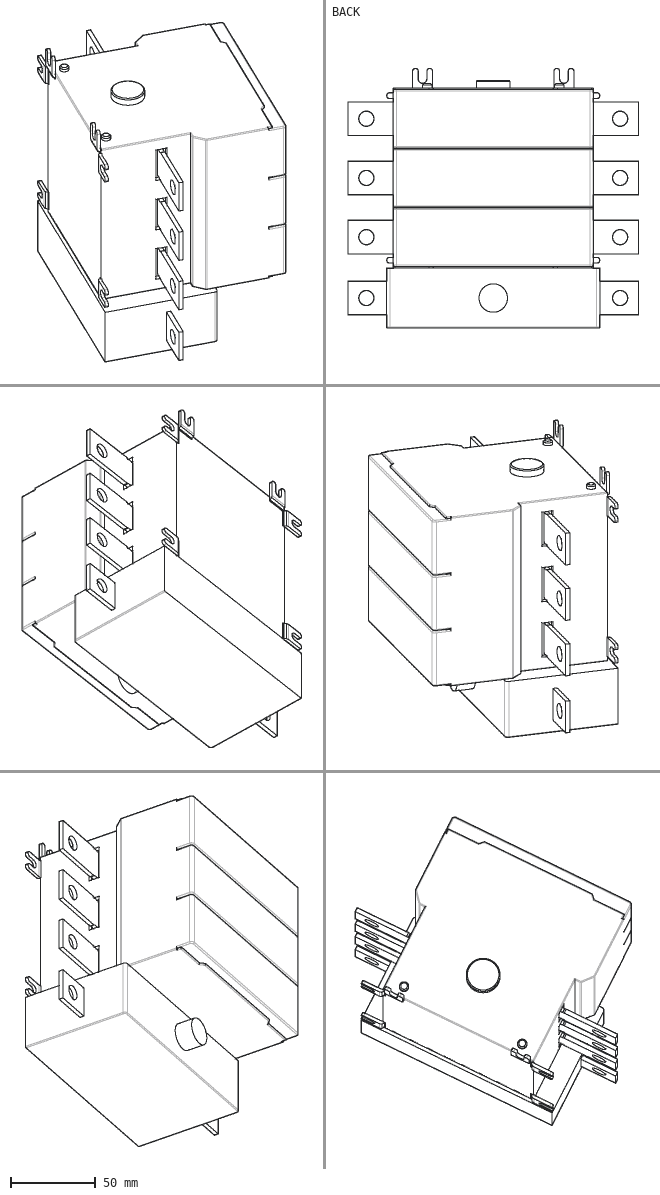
import cadquery as cq

TOTAL_WIDTH = 172.0
TOTAL_DEPTH = 114.5
TOTAL_HEIGHT = 153.51

BASE_WIDTH = 126.0
BASE_DEPTH = 70.3
BASE_HEIGHT = 35.5
BASE_CORNER_RADIUS = 2.0
BASE_EDGE_RADIUS = 0.6
KNOB_DIAMETER = 16.8
KNOB_LENGTH = 11.5

BODY_HEIGHT = 106.5
BODY_BACK_Y = 2.0
NECK_HALF_WIDTH = 49.6
SHOULDER_Y = 57.5
SHOULDER_HALF_WIDTH = 53.4
FLANK_START_Y = 64.3
BODY_HALF_WIDTH = 59.2
LIP_START_Y = 103.3
LIP_THICKNESS = 1.0
COVER_SEAM_Y = 106.0
RIDGE_HALF_WIDTH = 35.5
RIDGE_HEIGHT = 2.6
BODY_EDGE_RADIUS = 0.6
FLANK_EDGE_RADIUS = 1.0

POLE_COUNT = 3
POLE_PITCH = 35.0
COVER_GAP = 0.5
COVER_EDGE_RADIUS = 0.8
COVER_CORNER_RADIUS = 2.0

BAR_HEIGHT = 20.0
BAR_ROOT_HEIGHT = 19.0
BAR_ROOT_HALF_LENGTH = 51.0
BAR_TAPER_LENGTH = 1.0
BAR_THICKNESS = 2.7
BAR_CENTRE_Y = 39.5
BAR_HOLE_DIAMETER = 8.8
BAR_HOLE_HALF_SPACING = 75.0
POCKET_HEIGHT = 21.6
POCKET_WIDTH = 7.0
POCKET_DEPTH = 3.0

BUTTON_DIAMETER = 20.0
BUTTON_HEIGHT = 4.5
BUTTON_Y = 35.2
BUTTON_CHAMFER = 0.7
SCREW_DIAMETER = 5.5
SCREW_HEIGHT = 2.5
SCREW_CHAMFER = 0.8
SCREW_HALF_SPACING = 39.0
SCREW_Y = 8.6

LUG_WIDTH = 12.0
LUG_THICKNESS = 2.0
LUG_FLAT_LENGTH = 12.0
LUG_LENGTH = 15.1
LUG_FOOT_LENGTH = 0.7
LUG_BEND_LENGTH = 1.4
LUG_BEND_DROP = 0.35
LUG_FOOT_RISE = 0.3
LUG_SLOT_WIDTH = 5.0
LUG_SLOT_DEPTH = 8.75
LUG_TIP_RADIUS = 1.7
LUG_SIDE_OFFSET_Z = 44.4
LUG_TOP_HALF_SPACING = 41.8

BODY_TOP_Z = BASE_HEIGHT + BODY_HEIGHT
BODY_CENTRE_Z = BASE_HEIGHT + BODY_HEIGHT / 2
RIDGE_Y = COVER_SEAM_Y + RIDGE_HEIGHT
COVER_HEIGHT = POLE_PITCH - COVER_GAP
POLE_LEVELS = [
    BODY_CENTRE_Z + (i - (POLE_COUNT - 1) / 2) * POLE_PITCH for i in range(POLE_COUNT)
]


def box(x_size, y_range, z_centre, z_size):
    """Box centred on X, between two Y values, centred at a height."""
    depth = y_range[1] - y_range[0]
    centre = (0, (y_range[0] + y_range[1]) / 2, z_centre)
    return cq.Workplane("XY").box(x_size, depth, z_size).translate(centre)


def mirrored_outline(right_points, z_bottom, height):
    """Extrude an outline given by its +X half, listed from low Y to high Y."""
    left_points = [(-x, y) for x, y in reversed(right_points)]
    return (
        cq.Workplane("XY", origin=(0, 0, z_bottom))
        .polyline(right_points + left_points)
        .close()
        .extrude(height)
    )


def make_base():
    base = box(BASE_WIDTH, (0, BASE_DEPTH), BASE_HEIGHT / 2, BASE_HEIGHT)
    base = base.edges("|Z and >Y").fillet(BASE_CORNER_RADIUS)
    base = base.faces("<Z").edges("not <Y").fillet(BASE_EDGE_RADIUS)
    knob = (
        cq.Workplane("XZ", origin=(0, BASE_DEPTH, BASE_HEIGHT / 2))
        .circle(KNOB_DIAMETER / 2)
        .extrude(-KNOB_LENGTH)
    )
    return base.union(knob)


def make_body():
    lip_inner_x = BODY_HALF_WIDTH - LIP_THICKNESS
    body = mirrored_outline(
        [
            (NECK_HALF_WIDTH, BODY_BACK_Y),
            (NECK_HALF_WIDTH, SHOULDER_Y),
            (SHOULDER_HALF_WIDTH, SHOULDER_Y),
            (BODY_HALF_WIDTH, FLANK_START_Y),
            (BODY_HALF_WIDTH, LIP_START_Y),
            (lip_inner_x, LIP_START_Y),
            (lip_inner_x, COVER_SEAM_Y),
            (RIDGE_HALF_WIDTH + RIDGE_HEIGHT, COVER_SEAM_Y),
            (RIDGE_HALF_WIDTH, RIDGE_Y),
        ],
        BASE_HEIGHT,
        BODY_HEIGHT,
    )
    for side in (-1, 1):
        for x, y in ((SHOULDER_HALF_WIDTH, SHOULDER_Y), (BODY_HALF_WIDTH, FLANK_START_Y)):
            flank_edge = cq.selectors.NearestToPointSelector((side * x, y, BODY_CENTRE_Z))
            body = body.edges("|Z").edges(flank_edge).fillet(FLANK_EDGE_RADIUS)
    return body.faces("<Z or >Z").edges().fillet(BODY_EDGE_RADIUS)


def make_cover(z_centre):
    """One pole cover, with lips that wrap back along the body flanks."""
    cover = box(2 * BODY_HALF_WIDTH, (LIP_START_Y, TOTAL_DEPTH), z_centre, COVER_HEIGHT)
    cover = cover.edges("|Z and >Y").fillet(COVER_CORNER_RADIUS)
    return cover.faces("<Z or >Z").edges("not <Y").fillet(COVER_EDGE_RADIUS)


def make_bar(z_centre):
    """Terminal bar running right through the part, lower at its roots, with a hole at each end."""
    taper_end_x = BAR_ROOT_HALF_LENGTH + BAR_TAPER_LENGTH
    upper_half = [
        (TOTAL_WIDTH / 2, BAR_HEIGHT / 2),
        (taper_end_x, BAR_HEIGHT / 2),
        (BAR_ROOT_HALF_LENGTH, BAR_ROOT_HEIGHT / 2),
        (-BAR_ROOT_HALF_LENGTH, BAR_ROOT_HEIGHT / 2),
        (-taper_end_x, BAR_HEIGHT / 2),
        (-TOTAL_WIDTH / 2, BAR_HEIGHT / 2),
    ]
    lower_half = [(x, -z) for x, z in reversed(upper_half)]
    bar = (
        cq.Workplane("XZ", origin=(0, BAR_CENTRE_Y, z_centre))
        .polyline(upper_half + lower_half)
        .close()
        .extrude(BAR_THICKNESS / 2, both=True)
    )
    holes = (
        cq.Workplane("XZ", origin=(0, 0, z_centre))
        .pushPoints([(-BAR_HOLE_HALF_SPACING, 0), (BAR_HOLE_HALF_SPACING, 0)])
        .circle(BAR_HOLE_DIAMETER / 2)
        .extrude(-TOTAL_DEPTH)
    )
    return bar.cut(holes)


def make_pocket_pair(z_centre):
    """Cutter for the pockets around a bar on both flanks of the neck."""
    y_range = (BAR_CENTRE_Y - POCKET_WIDTH / 2, BAR_CENTRE_Y + POCKET_WIDTH / 2)
    outer = box(2 * BODY_HALF_WIDTH, y_range, z_centre, POCKET_HEIGHT)
    core_width = 2 * (NECK_HALF_WIDTH - POCKET_DEPTH)
    return outer.cut(box(core_width, y_range, z_centre, POCKET_HEIGHT))


def make_top_disc(x, y, diameter, height, chamfer):
    return (
        cq.Workplane("XY", origin=(x, y, BODY_TOP_Z))
        .circle(diameter / 2)
        .extrude(height)
        .faces(">Z")
        .chamfer(chamfer)
    )


def make_lug():
    """Slotted lug with its tip at the origin, reaching toward -X, centred on Z."""
    foot_y = BODY_BACK_Y - LUG_FOOT_RISE
    front_face = [
        (0, 0),
        (-LUG_FLAT_LENGTH, 0),
        (-LUG_FLAT_LENGTH - LUG_BEND_LENGTH, LUG_BEND_DROP),
        (-LUG_LENGTH + LUG_FOOT_LENGTH, foot_y),
        (-LUG_LENGTH, foot_y),
    ]
    back_face = [(x, y + LUG_THICKNESS) for x, y in reversed(front_face)]
    profile = front_face + back_face
    lug = cq.Workplane("XY").polyline(profile).close().extrude(LUG_WIDTH / 2, both=True)
    slot = (
        cq.Workplane("XZ")
        .slot2D(2 * LUG_SLOT_DEPTH, LUG_SLOT_WIDTH)
        .extrude(-LUG_THICKNESS)
    )
    return lug.cut(slot).edges("|Y and >X").fillet(LUG_TIP_RADIUS)


def make_lugs():
    side_tip_x = BASE_WIDTH / 2
    lug = make_lug()
    upright = lug.rotate((0, 0, 0), (0, 1, 0), -90)
    lugs = []
    for side in (-1, 1):
        facing = lug if side > 0 else lug.mirror("YZ")
        for offset in (-LUG_SIDE_OFFSET_Z, LUG_SIDE_OFFSET_Z):
            lugs.append(facing.translate((side * side_tip_x, 0, BODY_CENTRE_Z + offset)))
        lugs.append(upright.translate((side * LUG_TOP_HALF_SPACING, 0, TOTAL_HEIGHT)))
    return lugs


result = make_body()
for level in POLE_LEVELS:
    result = result.union(make_cover(level))
    result = result.cut(make_pocket_pair(level))
    result = result.union(make_bar(level))

result = result.union(make_base()).union(make_bar(BASE_HEIGHT / 2))
result = result.union(
    make_top_disc(0, BUTTON_Y, BUTTON_DIAMETER, BUTTON_HEIGHT, BUTTON_CHAMFER)
)
for screw_x in (-SCREW_HALF_SPACING, SCREW_HALF_SPACING):
    result = result.union(
        make_top_disc(screw_x, SCREW_Y, SCREW_DIAMETER, SCREW_HEIGHT, SCREW_CHAMFER)
    )
for mounting_lug in make_lugs():
    result = result.union(mounting_lug)